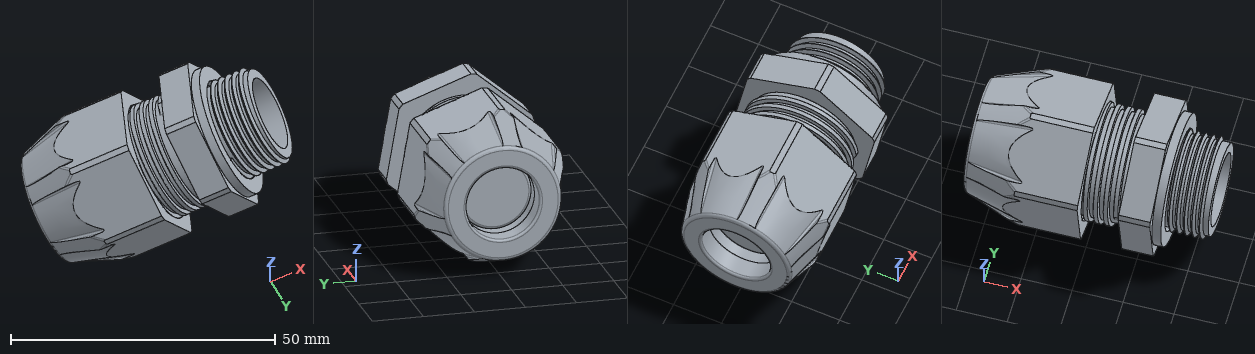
import cadquery as cq
import math


hex_sides = 6
half_side_angle = 180 / hex_sides
across_flats = 27.0
corner_diameter = 30.5
hex_tilt = 20.0

nut_length = 23.25
body_front = 10.0
hex_front = 31.3
hex_back = 37.5
washer_back = 39.25
total_length = 47.5

face_diameter = 21.51
nose_diameter = 23.03
nose_round_length = 0.6
ridge_cone_angle = 20.0
ridge_blend_radius = 0.8
scallop_cone_angle = 14.5
scallop_sector = 44.2
scallop_root_radius = 0.4
scallop_reach = 14.0

entry_diameter = 14.36
entry_round = 0.5
seal_front = 4.0
seal_back = 20.0
seal_diameter = 19.4
plug_front = 6.0
plug_round = 0.56

body_bore = 14.4
neck_diameter = 21.3
neck_thread_diameter = 23.06
neck_thread_pitch = 2.0
neck_thread_turns = 8
neck_thread_end_x = 30.05
neck_thread_end_angle = 190.3
neck_thread_root_width = 1.1
neck_thread_crest_width = 0.86
neck_thread_clearance = 0.2
runout_start_z = 0.4
runout_overshoot = 0.5
mount_diameter = 18.3
mount_thread_diameter = 19.9
mount_thread_pitch = 1.5
mount_thread_turns = 5.25
mount_thread_end_x = 46.75
mount_thread_end_angle = 360.0
mount_thread_root_width = 0.95
mount_thread_crest_width = 0.08

washer_diameter = 26.1
washer_bore = 20.1

thread_embed = 0.2


def cylinder(diameter, start, end):
    """Solid cylinder on the X axis between two stations."""
    return cq.Workplane("YZ", origin=(start, 0, 0)).circle(diameter / 2).extrude(end - start)


def hex_bar(start, end):
    """Tilted hexagonal bar whose corners are turned down to the corner diameter."""
    sharp_corner_diameter = across_flats / math.cos(math.radians(half_side_angle))
    bar = cq.Workplane("YZ", origin=(start, 0, 0)).polygon(hex_sides, sharp_corner_diameter)
    bar = bar.extrude(end - start)
    bar = bar.rotate((0, 0, 0), (1, 0, 0), -hex_tilt)
    return bar.intersect(cylinder(corner_diameter, start, end))


def thread_ridge(core_diameter, crest_diameter, pitch, turns, root_width, crest_width, end_x, end_angle):
    """Right-hand thread ridge; end_angle is measured about X from +Y towards +Z."""
    core = core_diameter / 2
    crest = crest_diameter / 2
    flank_slope = (root_width - crest_width) / (crest - core)
    embedded_width = root_width + flank_slope * thread_embed
    helix = cq.Wire.makeHelix(pitch, pitch * turns, core)
    profile = cq.Workplane("XZ").polyline([
        (core - thread_embed, -embedded_width / 2),
        (crest, -crest_width / 2),
        (crest, crest_width / 2),
        (core - thread_embed, embedded_width / 2),
    ]).close()
    ridge = profile.sweep(cq.Workplane(obj=helix), isFrenet=True)
    helix_start_angle = 270
    ridge = ridge.rotate((0, 0, 0), (0, 1, 0), 90)
    ridge = ridge.rotate((0, 0, 0), (1, 0, 0), end_angle - 360 * turns - helix_start_angle)
    return ridge.translate((end_x - pitch * turns, 0, 0))


def nut_envelope():
    """Round nose and steep cone that bound the ridges at the hexagon corners."""
    nose_radius = nose_diameter / 2
    corner_radius = corner_diameter / 2
    cone_length = (corner_radius - nose_radius) / math.tan(math.radians(ridge_cone_angle))
    return (
        cq.Workplane("XY")
        .lineTo(0, face_diameter / 2)
        .tangentArcPoint((nose_round_length, nose_radius), relative=False)
        .lineTo(nose_round_length + cone_length, corner_radius)
        .lineTo(nut_length, corner_radius)
        .lineTo(nut_length, 0)
        .close()
        .revolve(360, (0, 0, 0), (1, 0, 0))
    )


def scallop_cutter():
    """Sector outside the shallow cone, with rounded edges, centred on the +Y direction."""
    nose_radius = nose_diameter / 2
    scallop_length = scallop_reach - nose_round_length
    reach_radius = nose_radius + scallop_length * math.tan(math.radians(scallop_cone_angle))
    sector = (
        cq.Workplane("XY")
        .moveTo(nose_round_length, nose_radius)
        .lineTo(scallop_reach, reach_radius)
        .lineTo(scallop_reach, corner_diameter)
        .lineTo(nose_round_length, corner_diameter)
        .close()
        .revolve(scallop_sector, (0, 0, 0), (1, 0, 0))
        .rotate((0, 0, 0), (1, 0, 0), -scallop_sector / 2)
    )
    root_middle_x = (nose_round_length + scallop_reach) / 2
    root_middle_radius = (nose_radius + reach_radius) / 2
    half_sector = math.radians(scallop_sector / 2)
    for side in (1, -1):
        root_middle = (
            root_middle_x,
            root_middle_radius * math.cos(half_sector),
            side * root_middle_radius * math.sin(half_sector),
        )
        sector = sector.edges(cq.NearestToPointSelector(root_middle)).fillet(scallop_root_radius)
    return sector


def make_cap_nut():
    nut = hex_bar(0, nut_length).intersect(nut_envelope())
    nut = nut.edges("%HYPERBOLA").fillet(ridge_blend_radius)
    cutter = scallop_cutter()
    for index in range(hex_sides):
        flat_angle = half_side_angle - hex_tilt + index * 360 / hex_sides
        nut = nut.cut(cutter.rotate((0, 0, 0), (1, 0, 0), flat_angle))
    nut = nut.cut(cylinder(entry_diameter, 0, seal_front))
    nut = nut.faces("<X").edges(cq.selectors.RadiusNthSelector(0)).fillet(entry_round)
    nut = nut.cut(cylinder(seal_diameter, seal_front, body_front))
    return nut.cut(cylinder(neck_thread_diameter + neck_thread_clearance, body_front, nut_length))


def runout_cutter():
    """Wedge that ramps the last stretch of the neck thread down to the neck."""
    neck_radius = neck_diameter / 2
    crest_radius = neck_thread_diameter / 2
    end_angle = math.radians(neck_thread_end_angle)
    end_y = neck_radius * math.cos(end_angle)
    end_z = neck_radius * math.sin(end_angle)
    return (
        cq.Workplane("YZ", origin=(neck_thread_end_x - neck_thread_pitch / 2, 0, 0))
        .moveTo(-crest_radius, runout_start_z)
        .lineTo(end_y, end_z)
        .lineTo(end_y, end_z - runout_overshoot)
        .lineTo(-crest_radius - runout_overshoot, end_z - runout_overshoot)
        .lineTo(-crest_radius - runout_overshoot, runout_start_z)
        .close()
        .extrude(neck_thread_pitch)
    )


def make_body():
    neck_thread = thread_ridge(
        neck_diameter, neck_thread_diameter, neck_thread_pitch, neck_thread_turns,
        neck_thread_root_width, neck_thread_crest_width, neck_thread_end_x, neck_thread_end_angle,
    ).cut(runout_cutter())
    mount_thread = thread_ridge(
        mount_diameter, mount_thread_diameter, mount_thread_pitch, mount_thread_turns,
        mount_thread_root_width, mount_thread_crest_width, mount_thread_end_x, mount_thread_end_angle,
    )
    neck = cylinder(neck_diameter, body_front, hex_front).union(neck_thread)
    mount = cylinder(mount_diameter, hex_back, total_length).union(mount_thread)
    body = neck.union(hex_bar(hex_front, hex_back)).union(mount)
    body = body.cut(cylinder(seal_diameter, body_front, seal_back))
    return body.cut(cylinder(body_bore, seal_back, total_length))


def make_seal():
    seal = cylinder(seal_diameter, seal_front, seal_back)
    return seal.cut(cylinder(entry_diameter, seal_front, seal_back))


def make_plug():
    return cylinder(entry_diameter, plug_front, seal_back).faces("<X").edges().fillet(plug_round)


def make_washer():
    return cylinder(washer_diameter, hex_back, washer_back).cut(cylinder(washer_bore, hex_back, washer_back))


cap_nut = make_cap_nut()
body = make_body()
seal = make_seal()
plug = make_plug()
washer = make_washer()

result = cq.Compound.makeCompound([cap_nut.val(), body.val(), seal.val(), plug.val(), washer.val()])